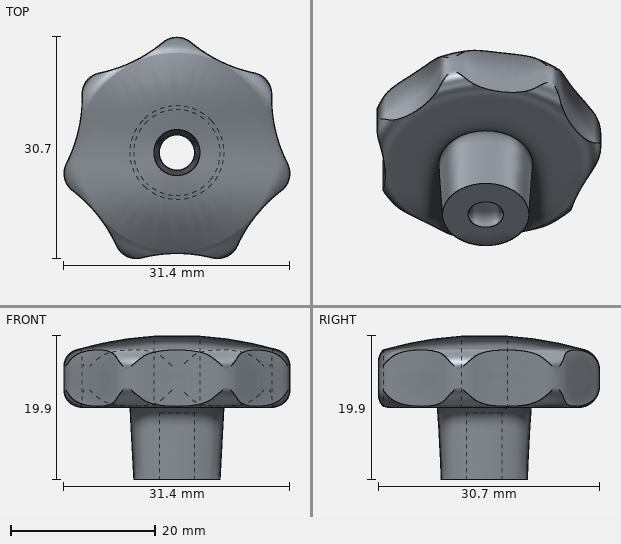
import cadquery as cq
import math

lobe_count = 7
overall_width = 31.35
edge_radius = 3.0
flute_radius = 20.0
head_bottom = 10.0
dome_apex = 20.0
dome_radius = 50.0

hub_bottom_radius = 6.0
hub_top_radius = 6.52

hub_hole_radius = 2.45
head_hole_radius = 3.2
shoulder_height = head_hole_radius - hub_hole_radius

half_pitch = math.pi / lobe_count
round_center = (overall_width / 2 - edge_radius) / math.cos(half_pitch / 2)
head_radius = round_center + edge_radius


def polar(radius, angle):
    return (radius * math.cos(angle), radius * math.sin(angle))


def make_head_blank():
    """Domed disc with both rim edges rounded, the upper rounding tangent to the dome."""
    dome_center_z = dome_apex - dome_radius
    center_distance = dome_radius - edge_radius
    tangent_angle = math.asin(round_center / center_distance)
    lower_z = head_bottom + edge_radius
    upper_z = dome_center_z + center_distance * math.cos(tangent_angle)

    def on_dome(angle):
        return (dome_radius * math.sin(angle), dome_center_z + dome_radius * math.cos(angle))

    def on_rounding(center_z, angle):
        x, z = polar(edge_radius, angle)
        return (round_center + x, center_z + z)

    upper_mid_angle = (math.pi / 2 - tangent_angle) / 2
    return (
        cq.Workplane("XZ")
        .moveTo(0, head_bottom)
        .lineTo(round_center, head_bottom)
        .threePointArc(on_rounding(lower_z, -math.pi / 4), (head_radius, lower_z))
        .lineTo(head_radius, upper_z)
        .threePointArc(on_rounding(upper_z, upper_mid_angle), on_dome(tangent_angle))
        .threePointArc(on_dome(tangent_angle / 2), (0, dome_apex))
        .close()
        .revolve(360, (0, 0, 0), (0, 1, 0))
    )


def make_lobe_prism():
    """Prism of convex lobe tips joined by tangent concave flutes, one lobe on +Y."""
    arc_center_distance = flute_radius + edge_radius
    flute_center = round_center * math.cos(half_pitch) + math.sqrt(
        arc_center_distance**2 - (round_center * math.sin(half_pitch)) ** 2
    )
    flute_floor = flute_center - flute_radius

    flute_x, flute_y = polar(flute_center, half_pitch)
    tip_share = edge_radius / arc_center_distance
    tangent_x = round_center + (flute_x - round_center) * tip_share
    tangent_y = flute_y * tip_share
    tangent_radius = math.hypot(tangent_x, tangent_y)
    tangent_offset = math.atan2(tangent_y, tangent_x)

    outline = cq.Workplane("XY").workplane(offset=head_bottom)
    outline = outline.moveTo(*polar(tangent_radius, math.pi / 2 - tangent_offset))
    for index in range(lobe_count):
        lobe_angle = math.pi / 2 + 2 * half_pitch * index
        flute_angle = lobe_angle + half_pitch
        next_lobe_angle = flute_angle + half_pitch
        outline = outline.threePointArc(
            polar(head_radius, lobe_angle), polar(tangent_radius, lobe_angle + tangent_offset)
        )
        outline = outline.threePointArc(
            polar(flute_floor, flute_angle), polar(tangent_radius, next_lobe_angle - tangent_offset)
        )
    return outline.close().extrude(dome_apex - head_bottom)


def make_hub():
    return cq.Workplane(cq.Solid.makeCone(hub_bottom_radius, hub_top_radius, head_bottom))


def make_bore():
    """Hub hole, conical shoulder ending level with the head underside, and wider head hole."""
    shoulder_bottom = head_bottom - shoulder_height
    return (
        cq.Workplane("XZ")
        .lineTo(hub_hole_radius, 0)
        .lineTo(hub_hole_radius, shoulder_bottom)
        .lineTo(head_hole_radius, head_bottom)
        .lineTo(head_hole_radius, dome_apex)
        .lineTo(0, dome_apex)
        .close()
        .revolve(360, (0, 0, 0), (0, 1, 0))
    )


head = make_head_blank().intersect(make_lobe_prism())
result = head.union(make_hub()).cut(make_bore())